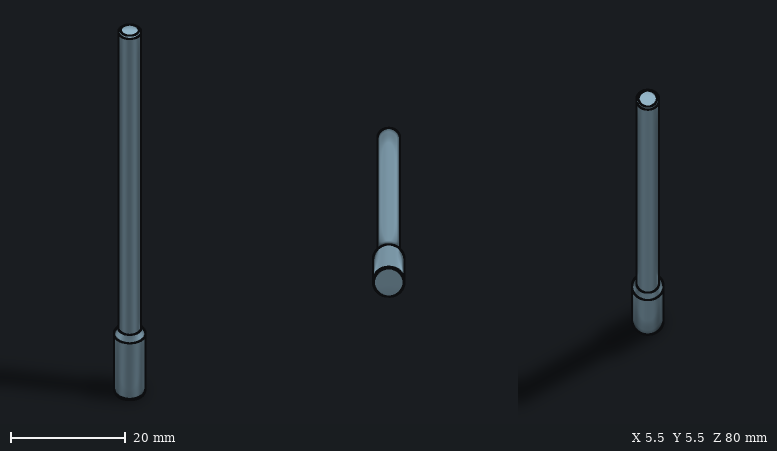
import cadquery as cq

total_length = 80.0
rod_diameter = 4.0
base_diameter = 5.5

base_height = 14.0
shoulder_height = 1.3

rod_tip_chamfer = 0.4
base_chamfer_width = 0.2
base_chamfer_height = 0.4


def make_base():
    """Thick lower cylinder whose conical shoulder narrows to the rod diameter."""
    base_radius = base_diameter / 2
    rod_radius = rod_diameter / 2
    bottom_radius = base_radius - base_chamfer_width
    half_profile = [
        (0, 0),
        (bottom_radius, 0),
        (base_radius, base_chamfer_height),
        (base_radius, base_height - shoulder_height),
        (rod_radius, base_height),
        (0, base_height),
    ]
    return cq.Workplane("XZ").polyline(half_profile).close().revolve(360, (0, 0), (0, 1))


def make_rod():
    """Slender rod standing on the base, with a chamfered tip."""
    rod_length = total_length - base_height
    rod = cq.Workplane("XY").workplane(offset=base_height).circle(rod_diameter / 2).extrude(rod_length)
    return rod.faces(">Z").chamfer(rod_tip_chamfer)


base = make_base()
rod = make_rod()

result = cq.Compound.makeCompound([base.val(), rod.val()])